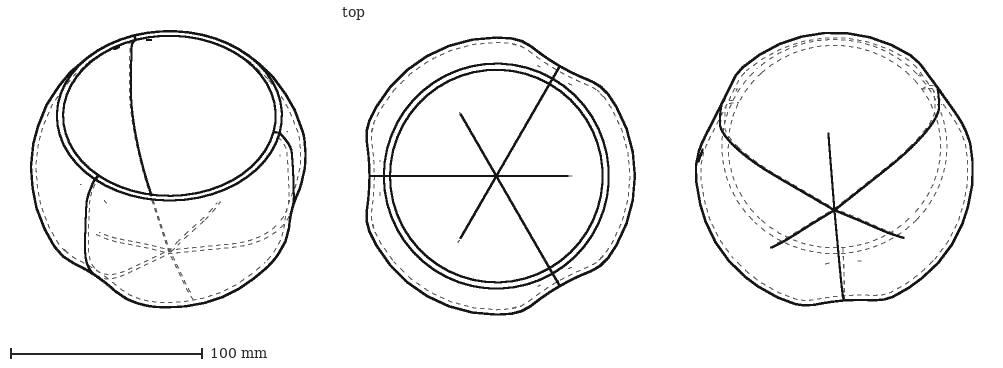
import cadquery as cq
import math

ball_radius = 72.3
wall = 2.6
rim_height = 42.2
sector_count = 3
half_angle = 180.0 / sector_count

floor_reach = 66.2
bend_radius = 50.0
bend_height = -7.4
upper_radius = 578.5
upper_rise = 57.9
ramp_angle = 20.6
ramp_overrun = 36.2
cross_radius = 115.7
groove_half_width = 52.0
groove_depth = 43.4
edge_round = 19.5

sample_fraction = 0.37
tolerance = 0.01


def arc_point(centre_x, centre_z, radius, angle):
    """Point on an arc in the XZ plane, with the angle in degrees from +X."""
    turn = math.radians(angle)
    return (centre_x + radius * math.cos(turn), centre_z + radius * math.sin(turn))


def groove_path(inset):
    """Floor centre line, moved inwards by inset."""
    bend_x = floor_reach - bend_radius
    upper_x = floor_reach - upper_radius
    upper_angle = math.degrees(math.asin(upper_rise / upper_radius))
    bend_end_angle = ramp_angle - 90
    upper = upper_radius - inset
    bend = bend_radius - inset
    start = arc_point(upper_x, bend_height, upper, upper_angle)
    upper_mid = arc_point(upper_x, bend_height, upper, upper_angle / 2)
    bend_start = (floor_reach - inset, bend_height)
    bend_mid = arc_point(bend_x, bend_height, bend, bend_end_angle / 2)
    bend_end = arc_point(bend_x, bend_height, bend, bend_end_angle)
    ramp_drop = (bend_end[0] + ramp_overrun) * math.tan(math.radians(ramp_angle))
    path = (
        cq.Workplane("XZ")
        .moveTo(*start)
        .threePointArc(upper_mid, bend_start)
        .threePointArc(bend_mid, bend_end)
        .lineTo(-ramp_overrun, bend_end[1] - ramp_drop)
    )
    return path, start, upper_angle


def groove_tool(inset):
    """Solid that carves one groove on the +X side."""
    path, start, upper_angle = groove_path(inset)
    tilt = math.radians(upper_angle)
    section_plane = cq.Plane(
        origin=(start[0], 0, start[1]),
        xDir=(math.cos(tilt), 0, math.sin(tilt)),
        normal=(math.sin(tilt), 0, -math.cos(tilt)),
    )
    radius = cross_radius + inset
    edge_rise = radius - math.sqrt(radius**2 - groove_half_width**2)
    return (
        cq.Workplane(section_plane)
        .moveTo(edge_rise, -groove_half_width)
        .threePointArc((0, 0), (edge_rise, groove_half_width))
        .lineTo(groove_depth, groove_half_width)
        .lineTo(groove_depth, -groove_half_width)
        .close()
        .sweep(path)
    )


def grooved_ball(inset):
    """Ball with one rounded groove, all surfaces moved inwards by inset."""
    ball = cq.Workplane("XY").sphere(ball_radius - inset).rotate((0, 0, 0), (0, 0, 1), 180)
    tool = groove_tool(inset)
    carved = ball.cut(tool)
    rim_of_groove = [edge for edge in carved.edges().vals() if on_groove_rim(edge, inset)]
    return carved.newObject(rim_of_groove).fillet(edge_round - inset)


def on_groove_rim(edge, inset):
    """True for edges on the ball surface other than its own meridian seam."""
    middle = edge.positionAt(sample_fraction)
    return abs(middle.Length - ball_radius + inset) < tolerance and abs(middle.y) > tolerance


def half_wedge():
    """Vertical prism from the groove centre plane to the middle of a sector, cut off at the rim."""
    reach = 2 * ball_radius
    turn = math.radians(half_angle)
    return (
        cq.Workplane("XY")
        .workplane(offset=-reach)
        .polyline([(0, 0), (reach, 0), (reach * math.cos(turn), reach * math.sin(turn))])
        .close()
        .extrude(reach + rim_height)
    )


def wall_sector():
    """One third of the bowl, symmetric about its middle plane, with half a groove at each end."""
    half = half_wedge().intersect(grooved_ball(0)).cut(grooved_ball(wall))
    centred = half.rotate((0, 0, 0), (0, 0, 1), -half_angle)
    return centred.union(centred.mirror("XZ"), clean=True)


sector = wall_sector()
sectors = []
for index in range(sector_count):
    copy = sector.rotate((0, 0, 0), (0, 0, 1), index * 360 / sector_count)
    sectors.append(copy.solids().val())

result = cq.Compound.makeCompound(sectors)